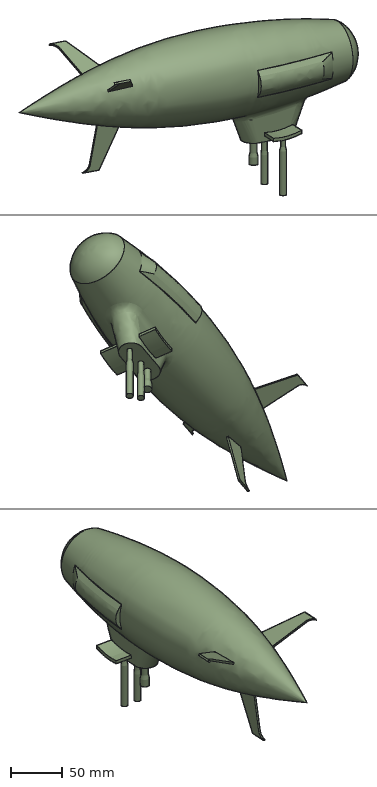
import cadquery as cq


NOSE_LENGTH = 17.3
NOSE_RADIUS = 30.9
NOSE_SHOULDER = (8.6, 24.5)
TAIL_STATION = -353.97
HULL_RADIUS = 45.5
NOSE_END_DIRECTION = (-1, 0.45)
HULL_CURVE = [
    (-58, 40.9),
    (-125, HULL_RADIUS),
    (-187, 42.8),
    (-241, 34.2),
    (-316, 13.4),
]

POD_BASE_HALF_HEIGHT = 14.0
POD_RIDGE_HALF_HEIGHT = 8.9
POD_NOSE_RIDGE_HALF_HEIGHT = 13.6
POD_SECTIONS = [
    (-24.7, 35.8, 33.3, 33.1, POD_NOSE_RIDGE_HALF_HEIGHT),
    (-39.1, 43.5, 40.7, 35.8, POD_RIDGE_HALF_HEIGHT),
    (-76.0, 48.2, 45.4, 41.3, POD_RIDGE_HALF_HEIGHT),
    (-112.8, 50.3, 47.5, 43.4, POD_RIDGE_HALF_HEIGHT),
]
POD_INNER_X = 22.0

GONDOLA_BOTTOM = -74.5
GONDOLA_BOTTOM_WIDTH = 24.8
GONDOLA_BOTTOM_FRONT = -51.1
GONDOLA_BOTTOM_REAR = -106.2
GONDOLA_TOP = -25.0
GONDOLA_TOP_WIDTH = 30.0
GONDOLA_TOP_FRONT = -32.5
GONDOLA_TOP_REAR = -124.5
GONDOLA_BLEND = 10.0

WINGLET_SPAN = 62.4
WINGLET_THICKNESS = 3.5
WINGLET_FRONT = (-57.1, -61.9)
WINGLET_MIDDLE = (-68.0, -64.5)
WINGLET_CREASE = (-78.8, -65.4)
WINGLET_REAR = (-88.4, -64.7)

MAST_TOP = GONDOLA_BOTTOM + 1
FLARE_TOP = -88.4
FLARE_BOTTOM = -92.6
LONG_MAST_BOTTOM = -138.1
MASTS = [
    (-60.5, 5.0, 7.0, LONG_MAST_BOTTOM),
    (-81.3, 6.0, 7.0, -122.8),
    (-93.35, 7.0, 9.0, -100.3),
]

FIN_COUNT = 3
FIN_THICKNESS = 2.0
FIN_ROOT_RADIUS = 15.0
FIN_TIP_RADIUS = 74.92
FIN_LEADING_ROOT = (34.2, -244.3)
FIN_LEADING_TIP = -266.2
FIN_TRAILING_ROOT = (29.4, -268.3)
FIN_TRAILING_BEND = (68.8, -276.3)
FIN_SWEEP_MIDDLE = (72.6, -279.2)
FIN_TRAILING_TIP = -283.9


def make_hull():
    """Hull and nose cap as one revolution about the Y axis."""
    profile = (
        cq.Workplane("YZ")
        .moveTo(NOSE_LENGTH, 0)
        .spline([NOSE_SHOULDER, (0, NOSE_RADIUS)], tangents=[(0, 1), NOSE_END_DIRECTION], includeCurrent=True)
        .spline([*HULL_CURVE, (TAIL_STATION, 0)], includeCurrent=True)
        .close()
    )
    return profile.revolve(360, (0, 0, 0), (1, 0, 0))


def pod_section(station, crest, ridge, base, ridge_half_height):
    """Cross-section of the +X pod: a rounded crest between two sloping flanks."""
    return (
        cq.Workplane("XZ", origin=(0, station, 0))
        .moveTo(POD_INNER_X, -POD_BASE_HALF_HEIGHT)
        .lineTo(base, -POD_BASE_HALF_HEIGHT)
        .lineTo(ridge, -ridge_half_height)
        .threePointArc((crest, 0), (ridge, ridge_half_height))
        .lineTo(base, POD_BASE_HALF_HEIGHT)
        .lineTo(POD_INNER_X, POD_BASE_HALF_HEIGHT)
        .close()
        .val()
    )


def make_pods():
    """Pair of pods along the hull sides, each with a straight ramp at its front end."""
    sections = [pod_section(*row) for row in POD_SECTIONS]
    ramp = cq.Solid.makeLoft(sections[:2], True)
    body = cq.Solid.makeLoft(sections[1:])
    pod = cq.Workplane(ramp).union(cq.Workplane(body))
    return pod.union(pod.mirror("YZ"))


def slot_wire(height, width, front, rear):
    """Horizontal outline with parallel sides and semicircular ends."""
    return (
        cq.Workplane("XY", origin=(0, (front + rear) / 2, height))
        .slot2D(front - rear, width, 90)
        .wires()
        .val()
    )


def make_gondola():
    """Gondola tapering downward from the hull."""
    bottom = slot_wire(GONDOLA_BOTTOM, GONDOLA_BOTTOM_WIDTH, GONDOLA_BOTTOM_FRONT, GONDOLA_BOTTOM_REAR)
    top = slot_wire(GONDOLA_TOP, GONDOLA_TOP_WIDTH, GONDOLA_TOP_FRONT, GONDOLA_TOP_REAR)
    return cq.Workplane(cq.Solid.makeLoft([bottom, top], True))


def blend_gondola(body):
    """Fillet the seam between gondola and hull."""
    half_width = GONDOLA_TOP_WIDTH / 2
    seam_box = cq.selectors.BoxSelector(
        (-half_width, GONDOLA_TOP_REAR, -HULL_RADIUS),
        (half_width, GONDOLA_TOP_FRONT, GONDOLA_TOP),
    )
    return body.edges(seam_box).fillet(GONDOLA_BLEND)


def make_winglets():
    """One curved plate through the gondola, forming both winglets."""
    def lowered(point):
        return point[0], point[1] - WINGLET_THICKNESS

    return (
        cq.Workplane("YZ", origin=(-WINGLET_SPAN / 2, 0, 0))
        .moveTo(*WINGLET_FRONT)
        .threePointArc(WINGLET_MIDDLE, WINGLET_CREASE)
        .lineTo(*WINGLET_REAR)
        .lineTo(*lowered(WINGLET_REAR))
        .lineTo(*lowered(WINGLET_CREASE))
        .threePointArc(lowered(WINGLET_MIDDLE), lowered(WINGLET_FRONT))
        .close()
        .extrude(WINGLET_SPAN)
    )


def make_mast(station, upper_diameter, lower_diameter, bottom):
    """Round mast that flares to a thicker lower part."""
    return (
        cq.Workplane("XZ", origin=(0, station, 0))
        .moveTo(0, MAST_TOP)
        .lineTo(-upper_diameter / 2, MAST_TOP)
        .lineTo(-upper_diameter / 2, FLARE_TOP)
        .lineTo(-lower_diameter / 2, FLARE_BOTTOM)
        .lineTo(-lower_diameter / 2, bottom)
        .lineTo(0, bottom)
        .close()
        .revolve(360, (0, 0, 0), (0, 1, 0))
    )


def make_fin():
    """Fin below the hull, with one face on the YZ plane."""
    def below(radius, station):
        return station, -radius

    return (
        cq.Workplane("YZ")
        .moveTo(*below(FIN_ROOT_RADIUS, FIN_LEADING_ROOT[1]))
        .lineTo(*below(*FIN_LEADING_ROOT))
        .lineTo(*below(FIN_TIP_RADIUS, FIN_LEADING_TIP))
        .lineTo(*below(FIN_TIP_RADIUS, FIN_TRAILING_TIP))
        .threePointArc(below(*FIN_SWEEP_MIDDLE), below(*FIN_TRAILING_BEND))
        .lineTo(*below(*FIN_TRAILING_ROOT))
        .lineTo(*below(FIN_ROOT_RADIUS, FIN_TRAILING_ROOT[1]))
        .close()
        .extrude(FIN_THICKNESS)
    )


result = blend_gondola(make_hull().union(make_gondola()))
result = result.union(make_pods())
result = result.union(make_winglets())
for mast in MASTS:
    result = result.union(make_mast(*mast))
fin = make_fin()
for index in range(FIN_COUNT):
    result = result.union(fin.rotate((0, 0, 0), (0, 1, 0), index * 360 / FIN_COUNT))